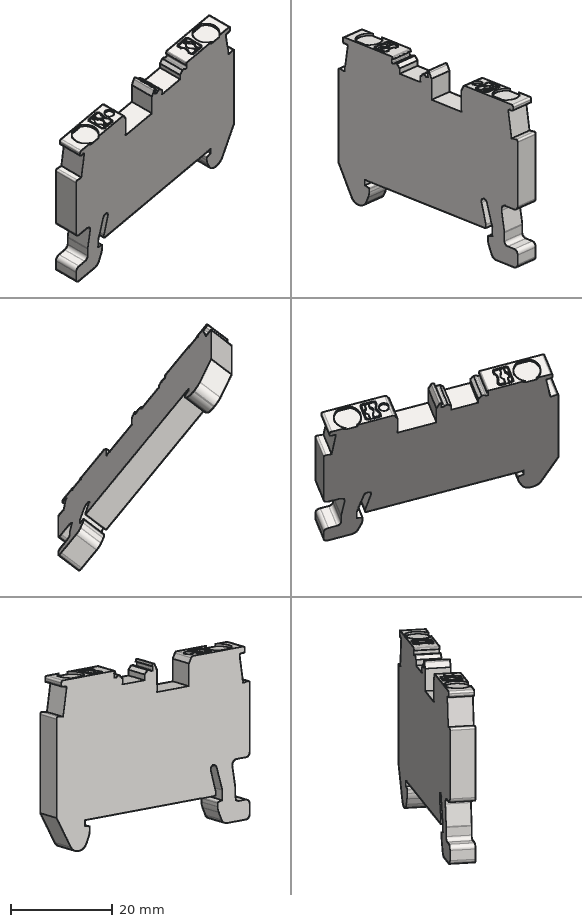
import cadquery as cq
import math

width = 5.15
half_length = 24.4
height = 35.25
half_width = width / 2

lip_y = 23.2
lip_bottom_z = 33.9
lip_radius = 0.45
neck_top_y = 21.8
neck_bottom_y = 22.75
neck_radius = 0.3
shoulder_z = 28.1
shoulder_inner_z = 27.85
shoulder_radius = 0.4

marker_y = 4.95
marker_floor_z = 32.15
marker_half_floor = 2.8
marker_bevel_z = 33.35
bump_inner = 3.5
bump_outer = 4.1
bump_z = 34.1
bump_radius = 0.5
hook_groove_inner = 4.4
hook_groove_outer = 4.9
hook_groove_z = 33.75
hook_groove_radius = 0.2
hook_tip = 4.6
hook_tip_z = 34.7
hook_top = 4.8
hook_top_radius = 0.15

channel_floor_z = 29.3
channel_inner_y = -1.0
channel_outer_y = -9.05
channel_bevel_z = 33.85
channel_bevel_y = -9.75
channel_bevel_radius = 0.5
hook_back_y = -0.25
hook_back_radius = 0.35

seat_z = 6.0
seat_end_y = -15.75
seat_end_radius = 0.2
claw_bottom_z = 4.6
claw_inner_z = 4.85
claw_bend_z = 3.1
claw_bend_radius = 2.95
claw_tip_radius = 0.15
claw_depth = 1.15
claw_taper = 1.35

fixed_claw_y = 16.0
fixed_slope_top_z = 7.55
fixed_slope_bottom_y = 20.2
fixed_foot_radius = 2.15

spring_claw_y = -16.3
spring_sole_radius = 1.55
spring_toe_radius = 1.0
spring_toe_z = 4.05
spring_outer_y = -20.8
spring_heel_radius = 0.9
spring_bend_z = 6.9
spring_bend_radius = 1.0
spring_root_y = -19.8
spring_root_radius = 1.05
body_bottom_z = 12.65
body_corner_radius = 1.0

slot_bend_z = 6.95
slot_inner_top_y = -14.3
slot_outer_top_y = -15.85
slot_top_z = 12.3
slot_end_radius = 0.75

recess_depth = 0.5
entry_y = 18.65
entry_x = 0.15
entry_radius = 2.7
entry_left_x = -2.2
driver_y = 13.75
driver_width = 4.05
driver_length = 3.15
driver_corner_radius = 0.45
driver_gap_x = 0.25
driver_gap_y = 0.15
driver_slot_offset = 0.3
driver_slot_width = 0.85
driver_middle_diameter = 1.8
test_hole_diameter = 2.0
test_hole_y = 11.05
driver_bite_radius = 1.5


def rounded_outline(corners):
    """Closed Y-Z wire through (y, z, radius) corners, each rounded by its radius."""
    outline = cq.Workplane("YZ", origin=(-half_width, 0, 0))
    for index, (y, z, radius) in enumerate(corners):
        before = cq.Vector(*corners[index - 1][:2])
        after = cq.Vector(*corners[(index + 1) % len(corners)][:2])
        corner = cq.Vector(y, z)
        to_before = (before - corner).normalized()
        to_after = (after - corner).normalized()
        half_angle = to_before.getAngle(to_after) / 2
        setback = radius / math.tan(half_angle)
        start = corner + to_before * setback
        if index == 0:
            outline = outline.moveTo(start.x, start.y)
        else:
            outline = outline.lineTo(start.x, start.y)
        if radius > 0:
            bisector = (to_before + to_after).normalized()
            middle = corner + bisector * (radius / math.sin(half_angle) - radius)
            end = corner + to_after * setback
            outline = outline.threePointArc((middle.x, middle.y), (end.x, end.y))
    return outline.close()


def head_end(side):
    """Corners of a head's outer end, from the shoulder up to the top; side is +1 or -1 along Y."""
    return [
        (side * half_length, shoulder_z, shoulder_radius),
        (side * neck_bottom_y, shoulder_inner_z, 0),
        (side * neck_top_y, lip_bottom_z, neck_radius),
        (side * lip_y, lip_bottom_z, lip_radius),
        (side * lip_y, height, lip_radius),
    ]


def marker_side(side):
    """Corners of one side of the marker groove, from the hook down to the floor."""
    return [
        (marker_y + side * hook_top, height, hook_top_radius),
        (marker_y + side * hook_tip, hook_tip_z, 0),
        (marker_y + side * hook_groove_outer, hook_tip_z, 0),
        (marker_y + side * hook_groove_outer, hook_groove_z, hook_groove_radius),
        (marker_y + side * hook_groove_inner, hook_groove_z, hook_groove_radius),
        (marker_y + side * bump_outer, bump_z, bump_radius),
        (marker_y + side * bump_inner, bump_z, 0),
        (marker_y + side * marker_half_floor, marker_bevel_z, 0),
        (marker_y + side * marker_half_floor, marker_floor_z, 0),
    ]


def claw(tip_y, side, sole_radius):
    """Corners of a rail claw, from its sole up to its undercut."""
    return [
        (tip_y + side * claw_taper, 0, sole_radius),
        (tip_y, claw_bend_z, claw_bend_radius),
        (tip_y, claw_bottom_z, claw_tip_radius),
        (tip_y + side * claw_depth, claw_inner_z, 0),
    ]


def block_body():
    channel = [
        (hook_back_y, height, hook_back_radius),
        (channel_inner_y, channel_bevel_z, 0),
        (channel_inner_y, channel_floor_z, 0),
        (channel_outer_y, channel_floor_z, 0),
        (channel_outer_y, channel_bevel_z, 0),
        (channel_bevel_y, height, channel_bevel_radius),
    ]
    spring_outside = [
        (-half_length, body_bottom_z, body_corner_radius),
        (spring_root_y, body_bottom_z, spring_root_radius),
        (spring_outer_y, spring_bend_z, spring_bend_radius),
        (spring_outer_y, spring_toe_z, spring_heel_radius),
        (-half_length, spring_toe_z, spring_toe_radius),
        (-half_length, 0, spring_toe_radius),
    ]
    relief_slot = [
        (spring_claw_y - claw_depth, slot_bend_z, 0),
        (slot_outer_top_y, slot_top_z, slot_end_radius),
        (slot_inner_top_y, slot_top_z, slot_end_radius),
        (seat_end_y, slot_bend_z, 0),
        (seat_end_y, seat_z, seat_end_radius),
    ]
    fixed_foot = [
        (fixed_claw_y + claw_depth, seat_z, 0),
        *reversed(claw(fixed_claw_y, 1, fixed_foot_radius)),
        (fixed_slope_bottom_y, 0, fixed_foot_radius),
        (half_length, fixed_slope_top_z, 0),
    ]
    corners = [
        *head_end(1),
        *marker_side(1),
        *reversed(marker_side(-1)),
        *channel,
        *reversed(head_end(-1)),
        *spring_outside,
        *claw(spring_claw_y, -1, spring_sole_radius),
        *relief_slot,
        *fixed_foot,
    ]
    return rounded_outline(corners).extrude(width)


def top_plane(x, y):
    return cq.Workplane("XY", origin=(x, y, height - recess_depth))


def wire_entry(side):
    """Shallow round recess, flattened toward -X and open through the +X face."""
    round_recess = top_plane(entry_x, side * entry_y).circle(entry_radius).extrude(recess_depth)
    allowed_area = (
        top_plane(entry_left_x, side * entry_y)
        .rect(half_width - entry_left_x, 2 * entry_radius, centered=(False, True))
        .extrude(recess_depth)
    )
    return round_recess.intersect(allowed_area)


def driver_outline(side, gap_x, gap_y):
    """Rounded rectangle with a round bite on the side facing the middle of the block.

    The bite on the -Y head runs around the test hole; the +Y head mirrors it.
    """
    block = (
        top_plane(0, side * driver_y)
        .rect(driver_width - 2 * gap_x, driver_length - 2 * gap_y)
        .extrude(recess_depth)
        .edges("|Z")
        .fillet(driver_corner_radius)
    )
    bite = top_plane(0, side * test_hole_y).circle(driver_bite_radius + gap_y).extrude(recess_depth)
    return block.cut(bite)


def driver_recess(side):
    """Narrow border groove joined to a cross slot with a round middle."""
    slot_y = side * (driver_y + driver_slot_offset)
    slot = top_plane(0, slot_y).rect(driver_width, driver_slot_width).extrude(recess_depth)
    middle = top_plane(0, slot_y).circle(driver_middle_diameter / 2).extrude(recess_depth)
    islands = driver_outline(side, driver_gap_x, driver_gap_y).cut(slot).cut(middle)
    return driver_outline(side, 0, 0).cut(islands)


result = block_body()
for end in (1, -1):
    result = result.cut(wire_entry(end)).cut(driver_recess(end))

test_hole = top_plane(0, -test_hole_y).circle(test_hole_diameter / 2).extrude(recess_depth)
result = result.cut(test_hole)